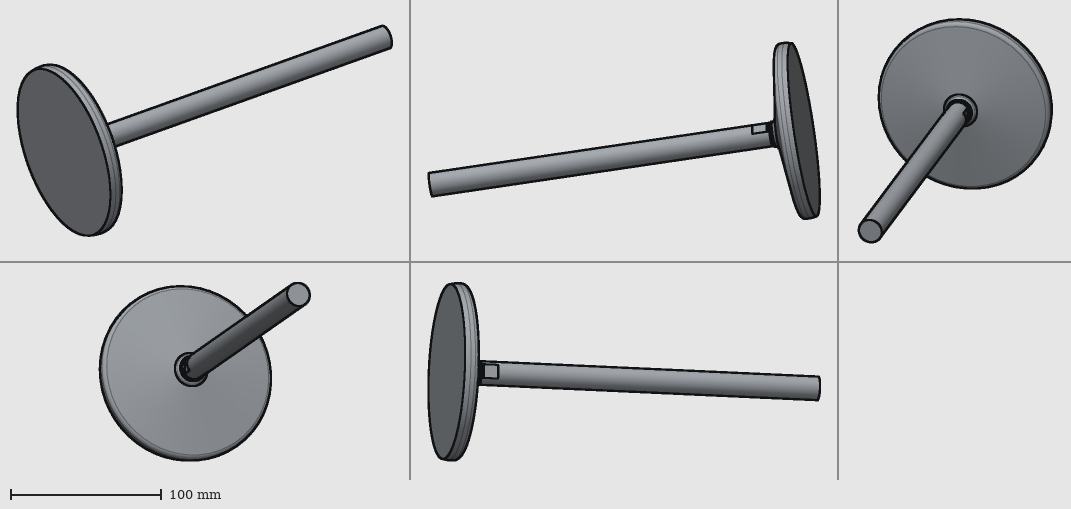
import cadquery as cq
import math

total_length = 252.0
foot_radius = 118.0 / 2
stem_radius = 16.0 / 2

underside_radius = 58.2
taper_height = 3.8
rim_height = 6.8
rim_round = 3.0
cone_top_radius = 11.3
cone_top_height = 17.5
hub_base_radius = 10.0
hub_base_height = 18.1
hub_radius = 8.0
hub_bulge = 0.38
collar_radius = 8.5
collar_thickness = 0.5
hub_height = 20.7

neck_radius = 7.5
neck_length = 1.5
flat_start = 23.7
flat_length = 9.8
flat_spacing = 12.9


def make_foot():
    """Round foot with a rounded rim, a shallow cone and a flared, collared hub."""
    round_center_radius = foot_radius - rim_round
    run = round_center_radius - cone_top_radius
    rise = cone_top_height - rim_height
    cone_slope = math.atan2(rise, run) - math.asin(rim_round / math.hypot(run, rise))
    tangent_angle = math.pi / 2 - cone_slope

    def round_point(angle):
        return (
            round_center_radius + rim_round * math.cos(angle),
            rim_height + rim_round * math.sin(angle),
        )

    return (
        cq.Workplane("XY")
        .lineTo(underside_radius, 0)
        .lineTo(foot_radius, taper_height)
        .lineTo(foot_radius, rim_height)
        .threePointArc(round_point(tangent_angle / 2), round_point(tangent_angle))
        .lineTo(cone_top_radius, cone_top_height)
        .lineTo(hub_base_radius, hub_base_height)
        .sagittaArc((hub_radius, hub_height - collar_thickness), hub_bulge)
        .lineTo(collar_radius, hub_height - collar_thickness)
        .lineTo(collar_radius, hub_height)
        .lineTo(0, hub_height)
        .close()
        .revolve(360, (0, 0), (0, 1))
    )


def make_wrench_flat_cutter(side):
    """Block that leaves a wrench flat on the +X or -X side of the stem."""
    cut_depth = stem_radius - flat_spacing / 2
    return cq.Workplane("XY").box(cut_depth, flat_length, 2 * stem_radius).translate(
        (side * (flat_spacing + cut_depth) / 2, flat_start + flat_length / 2, 0)
    )


def make_stem():
    """Long round stem with a narrower neck at the lower end and two wrench flats."""
    stem = (
        cq.Workplane("XY")
        .moveTo(0, hub_height)
        .lineTo(neck_radius, hub_height)
        .lineTo(neck_radius, hub_height + neck_length)
        .lineTo(stem_radius, hub_height + neck_length)
        .lineTo(stem_radius, total_length)
        .lineTo(0, total_length)
        .close()
        .revolve(360, (0, 0), (0, 1))
    )
    for side in (-1, 1):
        stem = stem.cut(make_wrench_flat_cutter(side))
    return stem


foot = make_foot()
stem = make_stem()
result = cq.Compound.makeCompound([foot.val(), stem.val()])